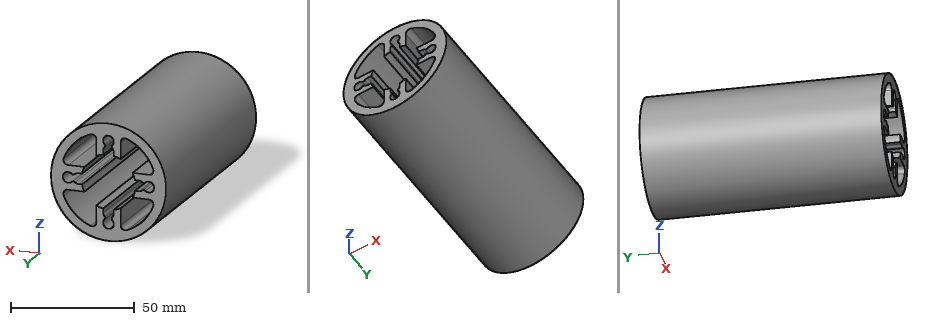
import cadquery as cq
import math

length = 100.0
outer_radius = 25.0
bore_radius = 11.7
pocket_radius = 21.0
rib_width = 10.5
pocket_corner_radius = 2.0
rib_count = 4

screw_hole_radius = 2.3
screw_hole_distance = 17.5
slot_end_distance = 13.1
lip_radius = 1.0


def cylinder(radius):
    """Full-length cylinder on the tube axis, from y = 0 to y = length."""
    return cq.Workplane("XZ").circle(radius).extrude(-length)


def corner_pocket():
    """Quadrant pocket between two ribs, bounded by the tube wall."""
    rib_face = rib_width / 2
    wall_reach = math.sqrt(pocket_radius**2 - rib_face**2)
    wall_middle = pocket_radius / math.sqrt(2)
    return (
        cq.Workplane("XZ")
        .moveTo(rib_face, rib_face)
        .lineTo(wall_reach, rib_face)
        .threePointArc((wall_middle, wall_middle), (rib_face, wall_reach))
        .close()
        .extrude(-length)
        .edges("|Y and (>X or >Z)")
        .fillet(pocket_corner_radius)
    )


def keyhole_slot():
    """Slot opening into the bore, pinched by two rounded lips below a screw hole."""
    neck_distance = (screw_hole_distance + slot_end_distance) / 2
    half_spacing = (screw_hole_distance - slot_end_distance) / 2
    centre_gap = screw_hole_radius + lip_radius
    lip_centre = math.sqrt(centre_gap**2 - half_spacing**2)
    touch_ratio = screw_hole_radius / centre_gap
    touch_x = lip_centre * touch_ratio
    touch_offset = half_spacing * (1 - touch_ratio)
    neck_x = lip_centre - lip_radius
    hole_touch = neck_distance + touch_offset
    slot_touch = neck_distance - touch_offset
    half_angle = math.asin((slot_touch - slot_end_distance) / screw_hole_radius) / 2
    end_x = screw_hole_radius * math.cos(half_angle)
    end_z = slot_end_distance + screw_hole_radius * math.sin(half_angle)
    return (
        cq.Workplane("XZ")
        .moveTo(-screw_hole_radius, 0)
        .lineTo(screw_hole_radius, 0)
        .lineTo(screw_hole_radius, slot_end_distance)
        .threePointArc((end_x, end_z), (touch_x, slot_touch))
        .threePointArc((neck_x, neck_distance), (touch_x, hole_touch))
        .threePointArc((0, screw_hole_distance + screw_hole_radius), (-touch_x, hole_touch))
        .threePointArc((-neck_x, neck_distance), (-touch_x, slot_touch))
        .threePointArc((-end_x, end_z), (-screw_hole_radius, slot_end_distance))
        .close()
        .extrude(-length)
    )


result = cylinder(outer_radius).cut(cylinder(bore_radius))
pocket = corner_pocket()
slot = keyhole_slot()
for index in range(rib_count):
    angle = index * 360 / rib_count
    for cutter in (pocket, slot):
        result = result.cut(cutter.rotate((0, 0, 0), (0, 1, 0), angle))